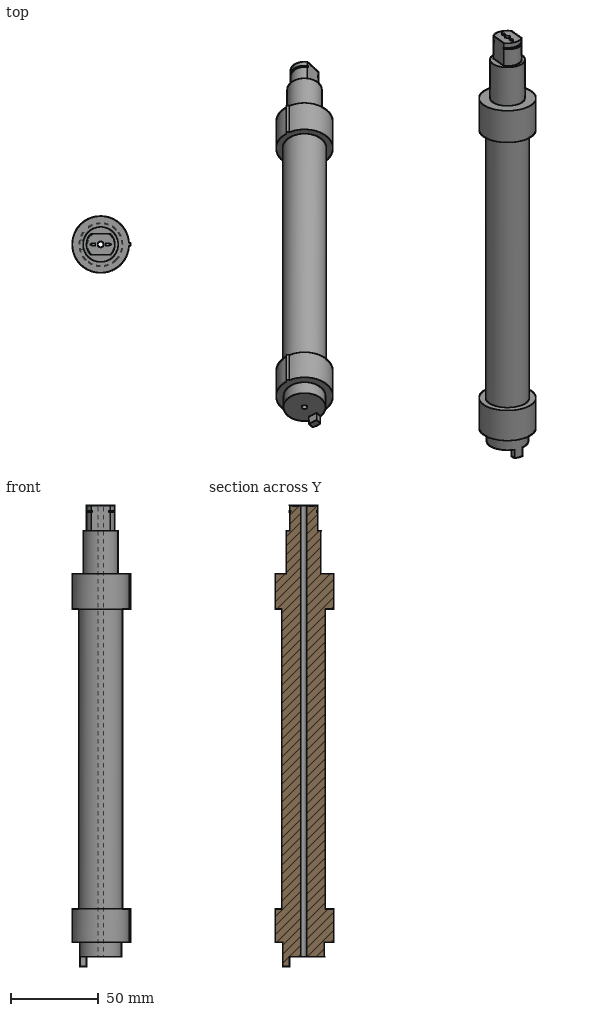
import cadquery as cq

LUG_TOP = 5.5
STUB_TOP = 13.8
LOWER_COLLAR_TOP = 33.0
TUBE_TOP = 203.8
UPPER_COLLAR_TOP = 224.0
NECK_TOP = 248.5
TOTAL_HEIGHT = 263.0

STUB_DIAMETER = 24.0
COLLAR_DIAMETER = 32.5
TUBE_DIAMETER = 25.0
NECK_DIAMETER = 20.0
HEAD_DIAMETER = 16.2

HEAD_ACROSS_FLATS = 12.0
GROOVE_RADIUS = 0.5
GROOVE_HEIGHT = TOTAL_HEIGHT - 3.5

BORE_DIAMETER = 3.2
SLOT_WIDTH = 1.4
SLOT_INNER_X = 3.0
SLOT_POINT_START_X = 4.7
SLOT_TIP_X = 6.0
SLOT_DEPTH = 0.3

RIB_DIAMETER = 2.0
OVERALL_X = 33.5
RIB_CENTER_X = OVERALL_X - COLLAR_DIAMETER / 2 - RIB_DIAMETER / 2

LUG_LENGTH = 4.0
LUG_WIDTH = 5.5


def cylinder(diameter, bottom, top, x=0.0):
    """Vertical cylinder between two heights, with its axis at the given X."""
    return cq.Workplane("XY", origin=(x, 0, bottom)).circle(diameter / 2).extrude(top - bottom)


def collar(bottom, top):
    """Round collar with a small round rib along its +X side."""
    rib = cylinder(RIB_DIAMETER, bottom, top, RIB_CENTER_X)
    return cylinder(COLLAR_DIAMETER, bottom, top).union(rib)


def head():
    """Round head with two flats facing -Y and +Y and a ring groove near its top."""
    height = TOTAL_HEIGHT - NECK_TOP
    flats = cq.Workplane("XY", origin=(0, 0, NECK_TOP)).rect(HEAD_DIAMETER, HEAD_ACROSS_FLATS).extrude(height)
    groove = (
        cq.Workplane("XZ")
        .center(HEAD_DIAMETER / 2, GROOVE_HEIGHT)
        .circle(GROOVE_RADIUS)
        .revolve(360, (-HEAD_DIAMETER / 2, 0), (-HEAD_DIAMETER / 2, 1))
    )
    return cylinder(HEAD_DIAMETER, NECK_TOP, TOTAL_HEIGHT).intersect(flats).cut(groove)


def drive_lug():
    """Lug below the stub at its -X edge, following the stub's round outline."""
    bar = cq.Workplane("XY").box(LUG_LENGTH, LUG_WIDTH, LUG_TOP, centered=(False, True, False))
    bar = bar.translate((-STUB_DIAMETER / 2, 0, 0))
    return cylinder(STUB_DIAMETER, 0, LUG_TOP).intersect(bar)


def top_slot(side):
    """Shallow slot beside the bore: square at its inner end, pointed at its outer end."""
    half_width = SLOT_WIDTH / 2
    return (
        cq.Workplane("XY", origin=(0, 0, TOTAL_HEIGHT))
        .moveTo(side * SLOT_INNER_X, -half_width)
        .lineTo(side * SLOT_POINT_START_X, -half_width)
        .lineTo(side * SLOT_TIP_X, 0)
        .lineTo(side * SLOT_POINT_START_X, half_width)
        .lineTo(side * SLOT_INNER_X, half_width)
        .close()
        .extrude(-SLOT_DEPTH)
    )


result = (
    cylinder(STUB_DIAMETER, LUG_TOP, STUB_TOP)
    .union(drive_lug())
    .union(collar(STUB_TOP, LOWER_COLLAR_TOP))
    .union(cylinder(TUBE_DIAMETER, LOWER_COLLAR_TOP, TUBE_TOP))
    .union(collar(TUBE_TOP, UPPER_COLLAR_TOP))
    .union(cylinder(NECK_DIAMETER, UPPER_COLLAR_TOP, NECK_TOP))
    .union(head())
    .cut(cylinder(BORE_DIAMETER, 0, TOTAL_HEIGHT))
)
for side in (-1, 1):
    result = result.cut(top_slot(side))